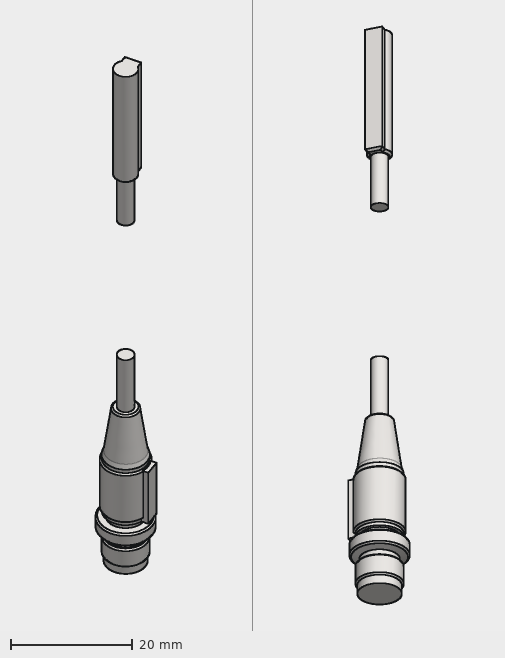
import cadquery as cq

CABLE_RADIUS = 1.5

TIP_RADIUS = 3.7
SLEEVE_RADIUS = 4.0
NECK_RADIUS = 3.4
RING_RADIUS = 5.0
GRIP_RADIUS = 4.3
BOOT_BASE_RADIUS = 3.7
BOOT_TOP_RADIUS = 2.4

SLEEVE_BOTTOM = 1.6
SLEEVE_TOP = 5.5
RING_BOTTOM = 6.5
RING_TOP = 9.6
COLLAR_BOTTOM = 10.7
GRIP_BOTTOM = 11.7
GRIP_TOP = 21.6
COLLAR_TOP = 22.6
BOOT_BASE = 23.6
BOOT_TOP = 32.9
CABLE_TOP = 44.0

RING_CHAMFER = 0.3
RING_UNDERCUT_RISE = 0.4
BOOT_CHAMFER = 0.3
EDGE_CHAMFER = 0.3

RIB_WIDTH = 3.0
RIB_BOTTOM = COLLAR_BOTTOM
RIB_TOP = 21.7

END_BOTTOM = 72.9
END_SHOULDER = 82.3
END_TOP = 105.3
END_RADIUS = 2.1
KEY_REACH = 2.6
KEY_WIDTH = 3.1
SHOULDER_CHAMFER = 0.4


def make_connector():
    """Turned connector body with its bend-relief boot, cable stub and rib."""
    profile = [
        (0, 0),
        (TIP_RADIUS, 0),
        (TIP_RADIUS, SLEEVE_BOTTOM),
        (SLEEVE_RADIUS, SLEEVE_BOTTOM + EDGE_CHAMFER),
        (SLEEVE_RADIUS, SLEEVE_TOP - EDGE_CHAMFER),
        (SLEEVE_RADIUS - EDGE_CHAMFER, SLEEVE_TOP),
        (NECK_RADIUS, SLEEVE_TOP),
        (NECK_RADIUS, RING_BOTTOM),
        (RING_RADIUS - RING_CHAMFER, RING_BOTTOM + RING_UNDERCUT_RISE),
        (RING_RADIUS, RING_BOTTOM + RING_UNDERCUT_RISE + RING_CHAMFER),
        (RING_RADIUS, RING_TOP - RING_CHAMFER),
        (RING_RADIUS - RING_CHAMFER, RING_TOP),
        (NECK_RADIUS, RING_TOP),
        (NECK_RADIUS, COLLAR_BOTTOM),
        (SLEEVE_RADIUS, COLLAR_BOTTOM),
        (SLEEVE_RADIUS, GRIP_BOTTOM - EDGE_CHAMFER),
        (GRIP_RADIUS, GRIP_BOTTOM),
        (GRIP_RADIUS, GRIP_TOP),
        (SLEEVE_RADIUS, GRIP_TOP + EDGE_CHAMFER),
        (SLEEVE_RADIUS, COLLAR_TOP),
        (BOOT_BASE_RADIUS, BOOT_BASE),
        (BOOT_TOP_RADIUS, BOOT_TOP - BOOT_CHAMFER),
        (BOOT_TOP_RADIUS - BOOT_CHAMFER, BOOT_TOP),
        (CABLE_RADIUS, BOOT_TOP),
        (CABLE_RADIUS, CABLE_TOP),
        (0, CABLE_TOP),
    ]
    turned = cq.Workplane("XZ").polyline(profile).close().revolve(360, (0, 0, 0), (0, 1, 0))
    return turned.union(make_rib())


def make_rib():
    """Straight rib from the axis out to the ring's radius."""
    return (
        cq.Workplane("XY", origin=(0, 0, RIB_BOTTOM))
        .rect(RING_RADIUS, RIB_WIDTH)
        .extrude(RIB_TOP - RIB_BOTTOM)
        .translate((RING_RADIUS / 2, 0, 0))
    )


def make_key():
    """Straight-sided key running from the axis to its flat face on the +Y side."""
    return (
        cq.Workplane("XY", origin=(0, KEY_REACH / 2, END_SHOULDER))
        .rect(KEY_WIDTH, KEY_REACH)
        .extrude(END_TOP - END_SHOULDER)
    )


def make_cable_end():
    """Keyed cylinder with a thinner cable stub below it."""
    barrel = (
        cq.Workplane("XY", origin=(0, 0, END_SHOULDER))
        .circle(END_RADIUS)
        .extrude(END_TOP - END_SHOULDER)
        .union(make_key())
        .faces("<Z").chamfer(SHOULDER_CHAMFER)
    )
    stub = (
        cq.Workplane("XY", origin=(0, 0, END_BOTTOM))
        .circle(CABLE_RADIUS)
        .extrude(END_SHOULDER - END_BOTTOM)
    )
    return barrel.union(stub)


connector = make_connector()
cable_end = make_cable_end()

result = cq.Compound.makeCompound([connector.val(), cable_end.val()])